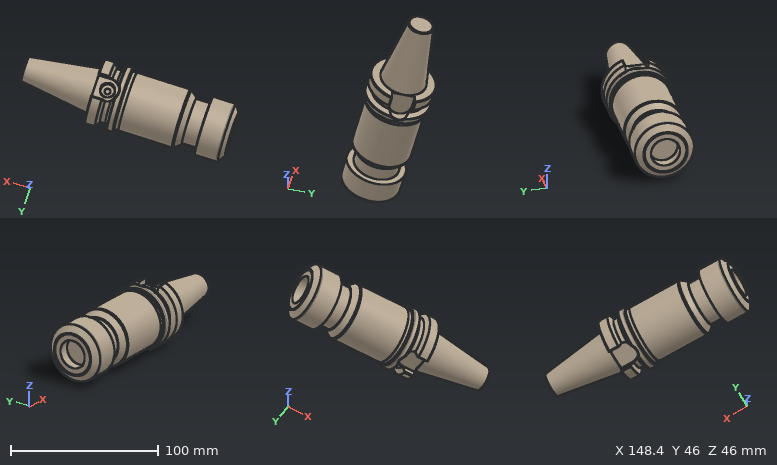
import cadquery as cq
import math

TOTAL_LENGTH = 148.4

NUT_RADIUS = 20.9
NUT_LENGTH = 19.9
NUT_FACE_RADIUS = 15.5
NUT_CONE_LENGTH = 3.4
NUT_EDGE_RADIUS = 1.2
COLLET_RECESS_RADIUS = 14.5
COLLET_RECESS_DEPTH = 0.1
BORE_RADIUS = 10.1
BORE_DEPTH = 7.9

NECK_RADIUS = 16.0
NECK_END = 30.4
BODY_RADIUS = 20.9
BODY_CONE_RADIUS = 16.8
BODY_START = 35.5
BODY_EDGE_RADIUS = 1.3
BODY_GROOVE_START = 74.3
BODY_GROOVE_END = 77.2
BODY_GROOVE_RADIUS = 20.8

FLANGE_RADIUS = 23.0
FLANGE_START = 77.9
FLANGE_END = 98.0
FLANGE_ROUND = 0.7
FLANGE_CHAMFER = 0.5
V_EDGE_LENGTH = 0.6
V_EDGE_DROP = 0.1
V_FLOOR_RADIUS = 19.0
V_FLOOR_START = 84.5
V_FLOOR_END = 88.1
V_SLOPE = math.tan(math.radians(30))
V_WIDENING = (FLANGE_RADIUS - V_FLOOR_RADIUS) * V_SLOPE

TAPER_RADIUS = 16.2
TAPER_RATE = 7 / 24 / 2
TAPER_END_RADIUS = TAPER_RADIUS - TAPER_RATE * (TOTAL_LENGTH - FLANGE_END)
TAPER_CHAMFER = 0.6

SLOT_CENTER = 88.9
SLOT_HALF_WIDTH = 8.0
SLOT_FLOOR = 16.3
SLOT_CHAMFER = 0.6
SLOT_END_CHAMFER = 0.5
POSITION_TOLERANCE = 0.01
HOLE_DIAMETER = 10.0
HOLE_DEPTH = 4.5
HOLE_CHAMFER = 0.1
DIMPLE_DIAMETER = 4.0
DIMPLE_POINT_ANGLE = 118


def turned_body():
    """Nut, body, flange and taper as one revolved profile."""
    profile = (
        cq.Workplane("XY")
        .moveTo(0, 0)
        .lineTo(0, NUT_FACE_RADIUS)
        .lineTo(NUT_CONE_LENGTH, NUT_RADIUS - NUT_EDGE_RADIUS / 4)
        .lineTo(NUT_CONE_LENGTH + NUT_EDGE_RADIUS, NUT_RADIUS)
        .lineTo(NUT_LENGTH, NUT_RADIUS)
        .lineTo(NUT_LENGTH, NECK_RADIUS)
        .lineTo(NECK_END, NECK_RADIUS)
        .lineTo(NECK_END, BODY_CONE_RADIUS)
        .lineTo(BODY_START - BODY_EDGE_RADIUS / 4, BODY_RADIUS - BODY_EDGE_RADIUS / 4)
        .lineTo(BODY_START + BODY_EDGE_RADIUS / 2, BODY_RADIUS)
        .lineTo(BODY_GROOVE_START, BODY_RADIUS)
        .lineTo(BODY_GROOVE_START, BODY_GROOVE_RADIUS)
        .lineTo(BODY_GROOVE_END, BODY_GROOVE_RADIUS)
        .lineTo(FLANGE_START, BODY_RADIUS + FLANGE_ROUND)
        .lineTo(FLANGE_START, FLANGE_RADIUS - FLANGE_ROUND)
        .radiusArc((FLANGE_START + FLANGE_ROUND, FLANGE_RADIUS), FLANGE_ROUND)
        .lineTo(V_FLOOR_START - V_WIDENING - V_EDGE_LENGTH / 2, FLANGE_RADIUS)
        .lineTo(V_FLOOR_START - V_WIDENING + V_EDGE_DROP * V_SLOPE, FLANGE_RADIUS - V_EDGE_DROP)
        .lineTo(V_FLOOR_START, V_FLOOR_RADIUS)
        .lineTo(V_FLOOR_END, V_FLOOR_RADIUS)
        .lineTo(V_FLOOR_END + V_WIDENING - V_EDGE_DROP * V_SLOPE, FLANGE_RADIUS - V_EDGE_DROP)
        .lineTo(V_FLOOR_END + V_WIDENING + V_EDGE_LENGTH, FLANGE_RADIUS)
        .lineTo(FLANGE_END - FLANGE_CHAMFER, FLANGE_RADIUS)
        .lineTo(FLANGE_END, FLANGE_RADIUS - FLANGE_CHAMFER)
        .lineTo(FLANGE_END, TAPER_RADIUS)
        .lineTo(TOTAL_LENGTH - TAPER_CHAMFER, TAPER_END_RADIUS + TAPER_RATE * TAPER_CHAMFER)
        .lineTo(TOTAL_LENGTH, TAPER_END_RADIUS - TAPER_CHAMFER)
        .lineTo(TOTAL_LENGTH, 0)
        .close()
    )
    return profile.revolve(360, (0, 0, 0), (1, 0, 0))


def nut_bore():
    """Shallow face recess and the blind bore behind it."""
    recess = cq.Workplane("YZ").circle(COLLET_RECESS_RADIUS).extrude(COLLET_RECESS_DEPTH)
    bore = cq.Workplane("YZ").circle(BORE_RADIUS).extrude(BORE_DEPTH)
    return recess.union(bore)


def drive_slot():
    """Round-ended slot in the +Z side, open toward the taper."""
    height = FLANGE_RADIUS - SLOT_FLOOR
    length = FLANGE_END - SLOT_CENTER
    floor = cq.Workplane("XY", origin=(SLOT_CENTER, 0, SLOT_FLOOR))
    round_end = floor.circle(SLOT_HALF_WIDTH).extrude(height)
    straight = floor.rect(length, 2 * SLOT_HALF_WIDTH).extrude(height).translate((length / 2, 0, 0))
    return round_end.union(straight)


def is_slot_rim(edge):
    """True for the edges where a slot side wall meets the rear flange rim."""
    center = edge.Center()
    box = edge.BoundingBox()
    on_wall = abs(abs(center.y) - SLOT_HALF_WIDTH) < POSITION_TOLERANCE and box.ylen < POSITION_TOLERANCE
    on_rim = box.zlen < POSITION_TOLERANCE and abs(center.z) > V_FLOOR_RADIUS
    return on_wall and on_rim and center.x > V_FLOOR_END + V_WIDENING + V_EDGE_LENGTH


def is_slot_end_rim(edge):
    """True for the edges where a slot's round end meets the front flange rim."""
    center = edge.Center()
    in_slot = edge.BoundingBox().ylen < 2 * SLOT_HALF_WIDTH and abs(center.y) < POSITION_TOLERANCE
    on_front_rim = FLANGE_START + FLANGE_ROUND < center.x < V_FLOOR_START - V_WIDENING
    return in_slot and on_front_rim and abs(center.z) > V_FLOOR_RADIUS


def slot_hole():
    """Flat-bottomed hole in the slot floor with a chamfered mouth and a drill dimple."""
    radius = HOLE_DIAMETER / 2
    dimple_radius = DIMPLE_DIAMETER / 2
    dimple_depth = dimple_radius / math.tan(math.radians(DIMPLE_POINT_ANGLE / 2))
    bottom = SLOT_FLOOR - HOLE_DEPTH
    return (
        cq.Workplane("XZ", origin=(SLOT_CENTER, 0, 0))
        .moveTo(0, SLOT_FLOOR)
        .lineTo(radius + HOLE_CHAMFER, SLOT_FLOOR)
        .lineTo(radius, SLOT_FLOOR - HOLE_CHAMFER)
        .lineTo(radius, bottom)
        .lineTo(dimple_radius, bottom)
        .lineTo(0, bottom - dimple_depth)
        .close()
        .revolve(360, (0, 0, 0), (0, 1, 0))
    )


slot = drive_slot()
opposite_slot = slot.rotate((0, 0, 0), (1, 0, 0), 180)
holder = turned_body().cut(nut_bore()).cut(slot).cut(opposite_slot)
for is_rim, size in ((is_slot_rim, SLOT_CHAMFER), (is_slot_end_rim, SLOT_END_CHAMFER)):
    rim_edges = [edge for edge in holder.edges().vals() if is_rim(edge)]
    holder = holder.newObject(rim_edges).chamfer(size)
result = holder.cut(slot_hole())